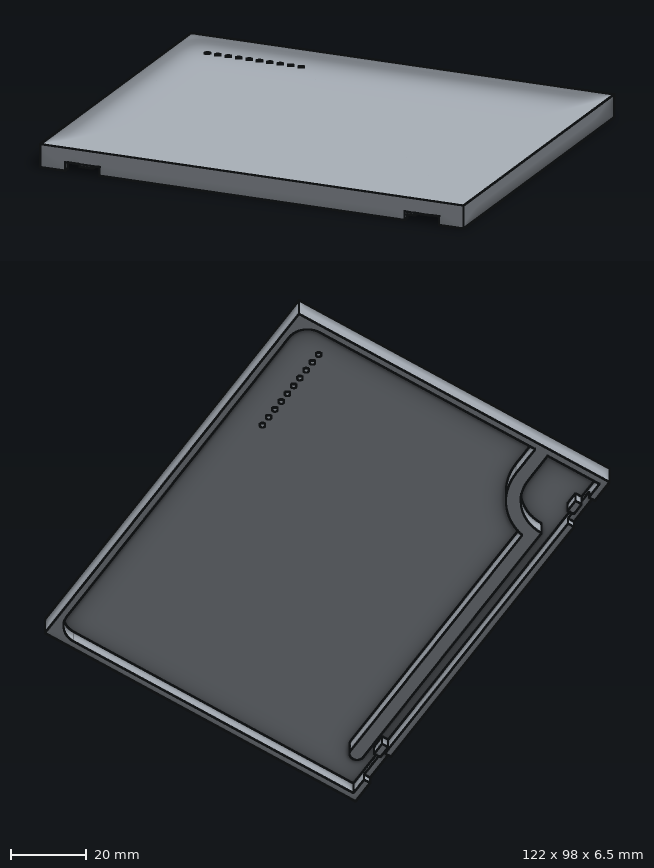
import cadquery as cq

length = 122
width = 98.0
height = 6.5
wall = 2.0
rear_corner_radius = 5.9
cavity_height = height - wall

notch_width = 10.0
notch_height = 2.5
notch_from_end = 7.1

hole_count = 10
hole_diameter = 1.5
hole_span = 27.0
first_hole_x = 10.6
hole_row_y = 84.8

rib_front_y = 6.1
rib_cove_x = 11.2
rib_cove_radius = 12.2
rib_right_x = 111
rib_width = 3.9

clip_width = 3.8
clip_depth = 2.0
clip_bottom = 1.0
clip_left_edges = (10.5, 103.3)


def block(x, y, z, dx, dy, dz):
    """Box given by its lowest corner and its sizes."""
    return cq.Workplane("XY").box(dx, dy, dz, centered=False).translate((x, y, z))


def make_shell():
    cavity = block(wall, wall, 0, length - 2 * wall, width - 2 * wall, cavity_height)
    cavity = cavity.edges("|Z and >Y").fillet(rear_corner_radius)
    return block(0, 0, 0, length, width, height).cut(cavity)


def make_notches():
    left = block(notch_from_end, 0, 0, notch_width, wall, notch_height)
    right_x = length - notch_from_end - notch_width
    return left.union(left.translate((right_x - notch_from_end, 0, 0)))


def make_rib():
    """Rib with a concave cove on the left and a full-round end on the right."""
    cove_center_y = rib_front_y
    cove_end_x = rib_cove_x + rib_cove_radius
    outer_radius = rib_cove_radius + rib_width
    left_run_y = cove_center_y + rib_cove_radius
    left_run = block(wall, left_run_y, 0, rib_cove_x - wall, rib_width, cavity_height)

    ring = (
        cq.Workplane("XY")
        .center(rib_cove_x, cove_center_y)
        .circle(outer_radius)
        .circle(rib_cove_radius)
        .extrude(cavity_height)
    )
    quadrant = block(rib_cove_x, cove_center_y, 0, outer_radius, outer_radius, cavity_height)
    cove = ring.intersect(quadrant)

    end_radius = rib_width / 2
    end_center_x = rib_right_x - end_radius
    front_length = end_center_x - cove_end_x
    front_run = block(cove_end_x, rib_front_y, 0, front_length, rib_width, cavity_height)
    round_end = (
        cq.Workplane("XY")
        .center(end_center_x, rib_front_y + end_radius)
        .circle(end_radius)
        .extrude(cavity_height)
    )
    return left_run.union(cove).union(front_run).union(round_end)


def make_clips():
    clip_height = cavity_height - clip_bottom
    clips = cq.Workplane("XY")
    for x in clip_left_edges:
        clips = clips.union(block(x, wall, clip_bottom, clip_width, clip_depth, clip_height))
    return clips


def make_holes():
    hole_pitch = hole_span / (hole_count - 1)
    centers = [(first_hole_x + i * hole_pitch, hole_row_y) for i in range(hole_count)]
    return cq.Workplane("XY").pushPoints(centers).circle(hole_diameter / 2).extrude(height)


result = make_shell().cut(make_notches()).union(make_rib()).union(make_clips()).cut(make_holes())